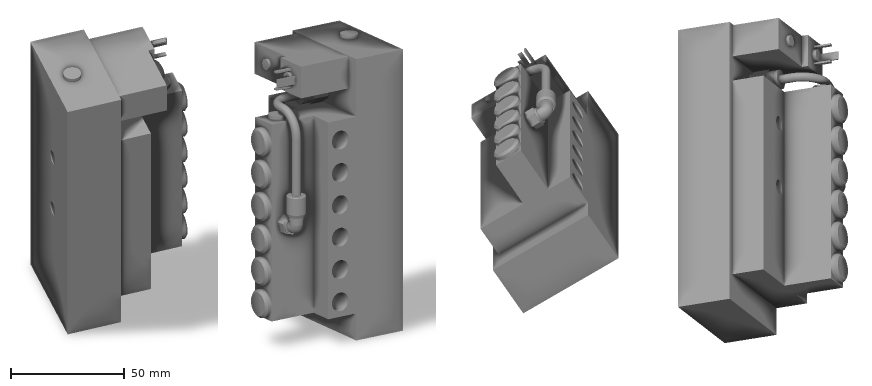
import cadquery as cq
import math


TOTAL_DEPTH = 65.5
TOTAL_HEIGHT = 132.5

BLOCK_WIDTH = 50.0
BLOCK_DEPTH = 25.0
BLOCK_HEIGHT = 130.6
THROUGH_DIA = 6.5
THROUGH_X = 30.0
THROUGH_Z = (57.4, 87.3)

PLUG_DIA = 8
PLUG_HEIGHT = TOTAL_HEIGHT - BLOCK_HEIGHT
BLOCK_PLUG_X = 28.0
BLOCK_PLUG_Y = 9.8

BANK_BOTTOM = 12.6
BANK_HEIGHT = 91.4
BANK_TOP = BANK_BOTTOM + BANK_HEIGHT
MANIFOLD_BACK = 40.0
MANIFOLD_RIGHT = 46.9
VALVE_LEFT = 11.4
VALVE_WIDTH = 13.0
VALVE_BACK = 62.5
VALVE_X = VALVE_LEFT + VALVE_WIDTH / 2
VALVE_PLUG_HEIGHT = 2.0

STATION_COUNT = 6
FIRST_STATION_Z = 19.5
STATION_SPAN = 75.1
STATION_PITCH = STATION_SPAN / (STATION_COUNT - 1)
STATION_Z = [FIRST_STATION_Z + i * STATION_PITCH for i in range(STATION_COUNT)]
PORT_DIA = 8.7
PORT_DEPTH = 13.2
PORT_Y = 33.7
CAP_DIA = 13.0
CAP_LENGTH = TOTAL_DEPTH - VALVE_BACK
CAP_CHAMFER = 1.0

HEAD_LEFT = 6.2
HEAD_RIGHT = MANIFOLD_RIGHT
HEAD_BOTTOM = 115.4
HEAD_TOP = 130.1
HEAD_BACK = 50.4
SHOULDER_LEFT = 22.1
SHOULDER_BACK = 47.5
HEAD_Z = (HEAD_BOTTOM + HEAD_TOP) / 2
SCREW_DIA = 5.0
SCREW_LENGTH = 1.5
SCREW_X = 36.3

CONTACT_THICKNESS = 0.8
EARTH_X = 10.9
EARTH_WIDTH = 3.7
EARTH_TIP = 60.0
CONTACT_X = 14.7
CONTACT_WIDTH = 2.0
CONTACT_TIP = 58.3
CONTACT_OFFSET = 4
COLLAR_DIA = 5.4
COLLAR_LENGTH = 1.7

TUBE_DIA = 4
BEND_RADIUS = 11.1
TUBE_X = 2.9
TUBE_Y = 55.1
BEND_START_Z = 98.7
TUBE_TOP_Z = BEND_START_Z + BEND_RADIUS
TUBE_END_X = TUBE_X + 2 * BEND_RADIUS
TUBE_END_Y = TUBE_Y - BEND_RADIUS

SLEEVE_DIA = 8.7
SLEEVE_TOP = 72.2
SLEEVE_BOTTOM = 62.4
SLEEVE_RIM_CHAMFER = 0.3
SLEEVE_TAPER_LENGTH = 1.6
SLEEVE_END_DIA = 7.5
NECK_DIA = 6.5
NECK_BOTTOM = 61
ELBOW_DIA = 6.0
ELBOW_Z = 57.1
ELBOW_RADIUS = 1.9
FLANGE_DIA = 7.5
FLANGE_LEFT = 6.0
ELBOW_HEX_DIA = 9.1
ELBOW_HEX_LEFT = 6.9

UNION_END = 38.7
UNION_GROOVE_DIA = 8.2
UNION_GROOVE_FRONT = 36.7
UNION_GROOVE_BACK = 37.2
UNION_HEX_DIA = 10.3
UNION_HEX_FRONT = 26.2
UNION_HEX_BACK = 33.4

HEX_TURN = 16


def box(x0, x1, y0, y1, z0, z1):
    """Box between two opposite corners."""
    return cq.Workplane("XY").box(x1 - x0, y1 - y0, z1 - z0, centered=False).translate((x0, y0, z0))


def rod(start, direction, dia, length):
    """Round bar from a start point along a direction."""
    return cq.Workplane(cq.Solid.makeCylinder(dia / 2, length, cq.Vector(*start), cq.Vector(*direction)))


def hexagon(start, direction, x_dir, dia, length, turn):
    """Hexagonal bar, sized across its corners and turned about its own axis."""
    plane = cq.Plane(origin=start, xDir=x_dir, normal=direction)
    return cq.Workplane(plane).transformed(rotate=(0, 0, turn)).polygon(6, dia).extrude(length)


def main_block():
    block = box(0, BLOCK_WIDTH, 0, BLOCK_DEPTH, 0, BLOCK_HEIGHT)
    plug_start = (BLOCK_PLUG_X, BLOCK_PLUG_Y, BLOCK_HEIGHT)
    return block.union(rod(plug_start, (0, 0, 1), PLUG_DIA, PLUG_HEIGHT))


def valve_bank():
    valve_right = VALVE_LEFT + VALVE_WIDTH
    bank = box(0, MANIFOLD_RIGHT, BLOCK_DEPTH, MANIFOLD_BACK, BANK_BOTTOM, BANK_TOP)
    bank = bank.union(box(VALVE_LEFT, valve_right, MANIFOLD_BACK, VALVE_BACK, BANK_BOTTOM, BANK_TOP))
    bank = bank.union(rod((VALVE_X, TUBE_Y, BANK_TOP), (0, 0, 1), PLUG_DIA, VALVE_PLUG_HEIGHT))
    for z in STATION_Z:
        cap = rod((VALVE_X, VALVE_BACK, z), (0, 1, 0), CAP_DIA, CAP_LENGTH)
        bank = bank.union(cap.faces(">Y").chamfer(CAP_CHAMFER))
        bank = bank.cut(rod((0, PORT_Y, z), (1, 0, 0), PORT_DIA, PORT_DEPTH))
    return bank


def electrical_head():
    head = box(HEAD_LEFT, HEAD_RIGHT, BLOCK_DEPTH, SHOULDER_BACK, HEAD_BOTTOM, HEAD_TOP)
    head = head.union(box(HEAD_LEFT, SHOULDER_LEFT, BLOCK_DEPTH, HEAD_BACK, HEAD_BOTTOM, HEAD_TOP))
    head = head.union(rod((SCREW_X, SHOULDER_BACK, HEAD_Z), (0, 1, 0), SCREW_DIA, SCREW_LENGTH))
    return head.union(rod((CONTACT_X, HEAD_BACK, HEAD_Z), (0, 1, 0), COLLAR_DIA, COLLAR_LENGTH))


def contact(x, z, x_size, z_size, tip):
    """Flat blade standing on the back of the head."""
    return box(x - x_size / 2, x + x_size / 2, HEAD_BACK, tip, z - z_size / 2, z + z_size / 2)


def contacts():
    blades = contact(EARTH_X, HEAD_Z, CONTACT_THICKNESS, EARTH_WIDTH, EARTH_TIP)
    for side in (-1, 1):
        z = HEAD_Z + side * CONTACT_OFFSET
        blades = blades.union(contact(CONTACT_X, z, CONTACT_WIDTH, CONTACT_THICKNESS, CONTACT_TIP))
    return blades


def tube():
    """Tube rising from the sleeve, bending to the right and then forward to the union."""
    rise = rod((TUBE_X, TUBE_Y, SLEEVE_TOP), (0, 0, 1), TUBE_DIA, BEND_START_Z - SLEEVE_TOP)
    profile = cq.Workplane("XY", origin=(TUBE_X, TUBE_Y, BEND_START_Z)).circle(TUBE_DIA / 2)
    first_bend = profile.revolve(90, (BEND_RADIUS, 0), (BEND_RADIUS, 1))
    middle = (TUBE_X + BEND_RADIUS, TUBE_Y, TUBE_TOP_Z)
    profile = cq.Workplane("YZ", origin=middle).circle(TUBE_DIA / 2)
    second_bend = profile.revolve(90, (-BEND_RADIUS, 0), (-BEND_RADIUS, -1))
    run_start = (TUBE_END_X, TUBE_END_Y, TUBE_TOP_Z)
    run = rod(run_start, (0, -1, 0), TUBE_DIA, TUBE_END_Y - UNION_END)
    return rise.union(first_bend).union(second_bend).union(run)


def elbow_bend():
    """Tight quarter bend from up to right; its round section stops at the bend axis."""
    outer_radius = ELBOW_DIA / 2
    half_chord = math.sqrt(outer_radius**2 - ELBOW_RADIUS**2)
    section = cq.Workplane("XY", origin=(TUBE_X, TUBE_Y, ELBOW_Z + ELBOW_RADIUS))
    section = section.moveTo(ELBOW_RADIUS, -half_chord)
    section = section.threePointArc((-outer_radius, 0), (ELBOW_RADIUS, half_chord)).close()
    return section.revolve(90, (ELBOW_RADIUS, 0), (ELBOW_RADIUS, -1))


def elbow_fitting():
    """Sleeve, neck and elbow that turn into a flange and hexagon on the valve bank."""
    sleeve = rod((TUBE_X, TUBE_Y, SLEEVE_BOTTOM), (0, 0, 1), SLEEVE_DIA, SLEEVE_TOP - SLEEVE_BOTTOM)
    sleeve = sleeve.faces("<Z").chamfer(SLEEVE_TAPER_LENGTH, (SLEEVE_DIA - SLEEVE_END_DIA) / 2)
    fitting = sleeve.faces(">Z").chamfer(SLEEVE_RIM_CHAMFER)
    neck_start = (TUBE_X, TUBE_Y, NECK_BOTTOM)
    fitting = fitting.union(rod(neck_start, (0, 0, 1), NECK_DIA, SLEEVE_BOTTOM - NECK_BOTTOM))
    bend_top = ELBOW_Z + ELBOW_RADIUS
    fitting = fitting.union(rod((TUBE_X, TUBE_Y, bend_top), (0, 0, 1), ELBOW_DIA, NECK_BOTTOM - bend_top))
    fitting = fitting.union(elbow_bend())
    bend_right = TUBE_X + ELBOW_RADIUS
    arm_start = (bend_right, TUBE_Y, ELBOW_Z)
    fitting = fitting.union(rod(arm_start, (1, 0, 0), ELBOW_DIA, FLANGE_LEFT - bend_right))
    flange_start = (FLANGE_LEFT, TUBE_Y, ELBOW_Z)
    fitting = fitting.union(rod(flange_start, (1, 0, 0), FLANGE_DIA, ELBOW_HEX_LEFT - FLANGE_LEFT))
    hex_start = (ELBOW_HEX_LEFT, TUBE_Y, ELBOW_Z)
    hex_length = VALVE_LEFT - ELBOW_HEX_LEFT
    return fitting.union(hexagon(hex_start, (1, 0, 0), (0, 1, 0), ELBOW_HEX_DIA, hex_length, HEX_TURN))


def union_fitting():
    """Straight fitting that joins the tube to the back of the main block."""
    start = (TUBE_END_X, BLOCK_DEPTH, TUBE_TOP_Z)
    groove_start = (TUBE_END_X, UNION_GROOVE_FRONT, TUBE_TOP_Z)
    rim_start = (TUBE_END_X, UNION_GROOVE_BACK, TUBE_TOP_Z)
    hex_start = (TUBE_END_X, UNION_HEX_FRONT, TUBE_TOP_Z)
    fitting = rod(start, (0, 1, 0), SLEEVE_DIA, UNION_GROOVE_FRONT - BLOCK_DEPTH)
    groove_length = UNION_GROOVE_BACK - UNION_GROOVE_FRONT
    fitting = fitting.union(rod(groove_start, (0, 1, 0), UNION_GROOVE_DIA, groove_length))
    fitting = fitting.union(rod(rim_start, (0, 1, 0), SLEEVE_DIA, UNION_END - UNION_GROOVE_BACK))
    hex_length = UNION_HEX_BACK - UNION_HEX_FRONT
    return fitting.union(hexagon(hex_start, (0, 1, 0), (-1, 0, 0), UNION_HEX_DIA, hex_length, -HEX_TURN))


result = main_block().union(valve_bank()).union(electrical_head()).union(contacts())
result = result.union(elbow_fitting()).union(union_fitting()).union(tube())

for hole_z in THROUGH_Z:
    result = result.cut(rod((THROUGH_X, 0, hole_z), (0, 1, 0), THROUGH_DIA, MANIFOLD_BACK))

result = cq.Workplane(result.solids().val())